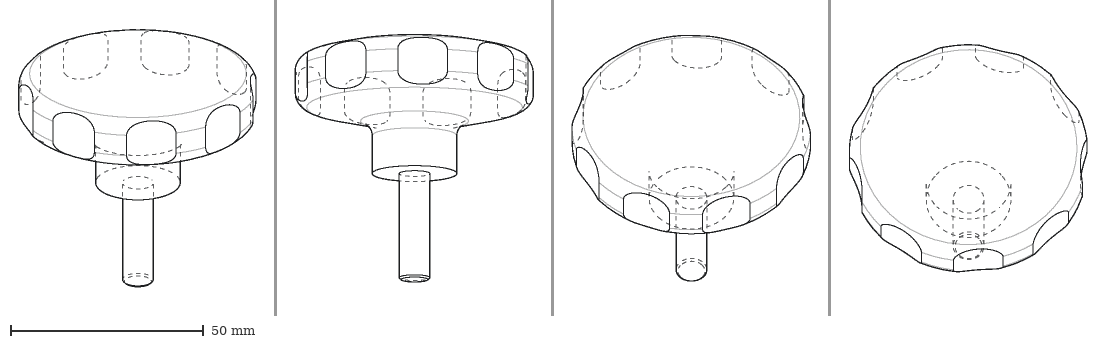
import cadquery as cq
import math

STUD_LENGTH = 28.0
HUB_HEIGHT = 10.0
KNOB_HEIGHT = 35.0

STUD_RADIUS = 4.0
STUD_CHAMFER = 0.5
HUB_RADIUS = 11.0
RIM_RADIUS = 31.0
DOME_RADIUS = 100.0
RIM_ROUND = 4.0
HUB_FILLET = 4.0
UNDERSIDE_ANGLE = math.radians(14.5)

FLUTE_COUNT = 9
FLUTE_RADIUS = 20.0
FLUTE_FLOOR = 29.25
FIRST_FLUTE_ANGLE = -90.0


def on_circle(center, radius, angle):
    """Point on a circle in the (radius, height) plane of the profile."""
    return (center[0] + radius * math.cos(angle), center[1] + radius * math.sin(angle))


def make_knob():
    """Turned head and hub: every round is tangent to its neighbours."""
    round_center_r = RIM_RADIUS - RIM_ROUND

    dome_center = (0, KNOB_HEIGHT - DOME_RADIUS)
    dome_edge_angle = math.acos(round_center_r / (DOME_RADIUS - RIM_ROUND))
    upper_center = on_circle(dome_center, DOME_RADIUS - RIM_ROUND, dome_edge_angle)
    dome_edge = on_circle(dome_center, DOME_RADIUS, dome_edge_angle)
    dome_mid = on_circle(dome_center, DOME_RADIUS, (dome_edge_angle + math.pi / 2) / 2)

    fillet_center = (HUB_RADIUS + HUB_FILLET, HUB_HEIGHT)
    cone_start_angle = math.pi / 2 + UNDERSIDE_ANGLE
    cone_start = on_circle(fillet_center, HUB_FILLET, cone_start_angle)
    fillet_mid = on_circle(fillet_center, HUB_FILLET, (math.pi + cone_start_angle) / 2)

    cone_end_angle = UNDERSIDE_ANGLE - math.pi / 2
    cone_end_r = round_center_r + RIM_ROUND * math.cos(cone_end_angle)
    cone_end_z = cone_start[1] + (cone_end_r - cone_start[0]) * math.tan(UNDERSIDE_ANGLE)
    lower_center = (round_center_r, cone_end_z - RIM_ROUND * math.sin(cone_end_angle))
    lower_mid = on_circle(lower_center, RIM_ROUND, cone_end_angle / 2)

    profile = (
        cq.Workplane("XZ")
        .moveTo(0, 0)
        .lineTo(HUB_RADIUS, 0)
        .lineTo(HUB_RADIUS, HUB_HEIGHT)
        .threePointArc(fillet_mid, cone_start)
        .lineTo(cone_end_r, cone_end_z)
        .threePointArc(lower_mid, (RIM_RADIUS, lower_center[1]))
        .lineTo(RIM_RADIUS, upper_center[1])
        .threePointArc(on_circle(upper_center, RIM_ROUND, dome_edge_angle / 2), dome_edge)
        .threePointArc(dome_mid, (0, KNOB_HEIGHT))
        .close()
    )
    return profile.revolve(360, (0, 0, 0), (0, 1, 0))


def make_flutes():
    """Upright cylinders that scallop the rim, one per finger flute."""
    return (
        cq.Workplane("XY")
        .polarArray(FLUTE_FLOOR + FLUTE_RADIUS, FIRST_FLUTE_ANGLE, 360, FLUTE_COUNT)
        .circle(FLUTE_RADIUS)
        .extrude(KNOB_HEIGHT, combine=False)
    )


def make_stud():
    """Plain stud below the hub, chamfered at its free end."""
    stud = cq.Workplane("XY").circle(STUD_RADIUS).extrude(-STUD_LENGTH)
    return stud.faces("<Z").chamfer(STUD_CHAMFER)


result = make_knob().cut(make_flutes()).union(make_stud())